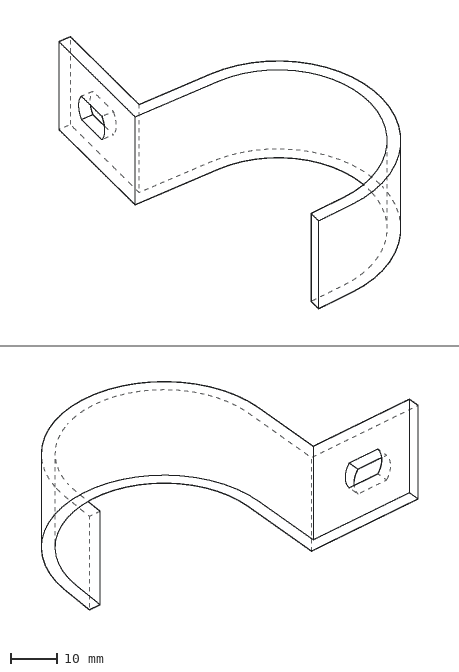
import cadquery as cq
import math

overall_length = 80.6
overall_depth = 48.0
strip_width = 25.0
thickness = 3.0
outer_radius = 26.5
tab_length = 30.0
free_leg_end_y = 14.1

slot_length = 10.2
slot_height = 6.6
slot_end_radius = 5.5
slot_center_x = 12.9

inner_radius = outer_radius - thickness
leg_outer_x = tab_length - thickness
center_x = leg_outer_x + outer_radius
center_y = overall_depth - outer_radius

corner_dx = overall_length - center_x
corner_dy = free_leg_end_y - center_y
lean = math.atan2(corner_dy, corner_dx) + math.acos(outer_radius / math.hypot(corner_dx, corner_dy))


def arc_point(radius, angle):
    """Point on the clamp arc, with the angle measured from +X."""
    return (center_x + radius * math.cos(angle), center_y + radius * math.sin(angle))


def leg_tip(radius):
    """End of the free leg on the face tangent to the given radius."""
    start_x, start_y = arc_point(radius, lean)
    tip_x = start_x + (start_y - free_leg_end_y) * math.tan(lean)
    return (tip_x, free_leg_end_y)


def make_strip():
    """Bent strip: flat tab, straight leg, clamp arc and leaning free leg."""
    top_angle = math.pi / 2
    profile = (
        cq.Workplane("XY")
        .moveTo(0, 0)
        .lineTo(tab_length, 0)
        .lineTo(tab_length, center_y)
        .threePointArc(arc_point(inner_radius, top_angle), arc_point(inner_radius, lean))
        .lineTo(*leg_tip(inner_radius))
        .lineTo(*leg_tip(outer_radius))
        .lineTo(*arc_point(outer_radius, lean))
        .threePointArc(arc_point(outer_radius, top_angle), (leg_outer_x, center_y))
        .lineTo(leg_outer_x, thickness)
        .lineTo(0, thickness)
        .close()
    )
    return profile.extrude(strip_width)


def make_slot():
    """Cutter for the tab slot: flat top and bottom, bulging round ends."""
    half_length = slot_length / 2
    half_height = slot_height / 2
    end_bulge = slot_end_radius - math.sqrt(slot_end_radius**2 - half_height**2)
    corner_x = half_length - end_bulge
    return (
        cq.Workplane("XZ", origin=(slot_center_x, 0, strip_width / 2))
        .moveTo(-corner_x, -half_height)
        .lineTo(corner_x, -half_height)
        .threePointArc((half_length, 0), (corner_x, half_height))
        .lineTo(-corner_x, half_height)
        .threePointArc((-half_length, 0), (-corner_x, -half_height))
        .close()
        .extrude(-thickness)
    )


result = make_strip().cut(make_slot())